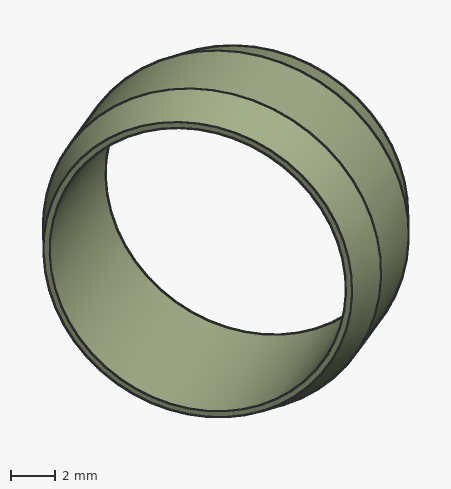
import cadquery as cq

outer_diameter = 16.0
bore_diameter = 14.0
end_diameter = 14.6
ring_width = 8.5
band_width = 4.2

outer_radius = outer_diameter / 2
bore_radius = bore_diameter / 2
end_radius = end_diameter / 2
half_width = ring_width / 2
half_band = band_width / 2


def make_ring():
    """Revolve the wall section around the Y axis."""
    section = (
        cq.Workplane("YZ")
        .moveTo(-half_width, bore_radius)
        .lineTo(-half_width, end_radius)
        .lineTo(-half_band, outer_radius)
        .lineTo(half_band, outer_radius)
        .lineTo(half_width, end_radius)
        .lineTo(half_width, bore_radius)
        .close()
    )
    axis_start = (0, 0)
    axis_end = (-1, 0)
    return section.revolve(360, axis_start, axis_end)


result = make_ring()